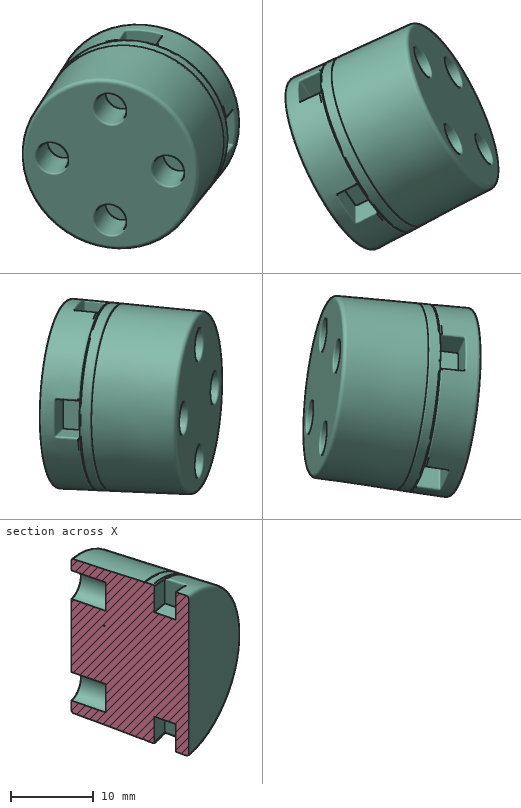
import cadquery as cq
import math

LENGTH = 17.0
MAX_DIAMETER = 23.0
DRAFT_ANGLE = 1.5
RIM_FILLET = 0.5
SMALL_FILLET = 0.2

CAP_DEPTH = 5.0
RING_END = 6.49

SLOT_WIDTH = 4.6
SLOT_START = 1.98
SLOT_DEPTH = 4.0
SLOT_COUNT = 4

HOLE_DIAMETER = 4.0
HOLE_DEPTH = 5.0
HOLE_CIRCLE_RADIUS = 7.27
HOLE_COUNT = 4

BACK_Y = LENGTH / 2
FRONT_Y = -LENGTH / 2
TAPER = math.tan(math.radians(DRAFT_ANGLE))
RIM_TANGENT_DEPTH = RIM_FILLET * (1 - math.sin(math.radians(DRAFT_ANGLE)))
BACK_RADIUS = MAX_DIAMETER / 2 + RIM_TANGENT_DEPTH * TAPER


def radius_at(depth):
    """Radius of the tapered wall at a distance from the back face."""
    return BACK_RADIUS - depth * TAPER


def drum_section(start, end):
    """Solid slice of the tapered drum between two distances from the back face."""
    return (
        cq.Workplane("XY")
        .moveTo(0, BACK_Y - start)
        .lineTo(radius_at(start), BACK_Y - start)
        .lineTo(radius_at(end), BACK_Y - end)
        .lineTo(0, BACK_Y - end)
        .close()
        .revolve(360, (0, 0, 0), (0, 1, 0))
    )


def slot_cutter():
    """Radial pocket at the top of the cap, open toward the ring, with rounded back corners."""
    slot_length = CAP_DEPTH - SLOT_START
    outer_radius = MAX_DIAMETER / 2
    floor_z = outer_radius - SLOT_DEPTH
    return (
        cq.Workplane("XY")
        .box(SLOT_WIDTH, slot_length, outer_radius, centered=(True, False, False))
        .edges("|Z and >Y")
        .fillet(SMALL_FILLET)
        .translate((0, BACK_Y - CAP_DEPTH, floor_z))
    )


def make_cap():
    """Back section with the side slots; slot mouths and front edge are rounded."""
    cap = drum_section(0, CAP_DEPTH).faces(">Y").edges().fillet(RIM_FILLET)
    cutter = slot_cutter()
    for i in range(SLOT_COUNT):
        cap = cap.cut(cutter.rotate((0, 0, 0), (0, 1, 0), i * 360 / SLOT_COUNT))
    rim_limit_y = BACK_Y - RIM_FILLET - SMALL_FILLET
    outline = [
        edge
        for edge in cap.faces("%CONE").edges().vals()
        if edge.Center().y < rim_limit_y and edge.geomType() != "LINE"
    ]
    return cap.newObject(outline).fillet(SMALL_FILLET)


def make_ring():
    """Narrow band between the cap and the front section."""
    return drum_section(CAP_DEPTH, RING_END).faces("<Y or >Y").edges().fillet(SMALL_FILLET)


def make_front():
    """Long front section with its ring of blind holes."""
    front = drum_section(RING_END, LENGTH)
    front = front.faces(">Y").edges().fillet(SMALL_FILLET)
    front = front.faces("<Y").edges().fillet(RIM_FILLET)
    holes = (
        cq.Workplane("XZ", origin=(0, FRONT_Y, 0))
        .polarArray(HOLE_CIRCLE_RADIUS, 0, 360, HOLE_COUNT)
        .circle(HOLE_DIAMETER / 2)
        .extrude(-HOLE_DEPTH)
    )
    front = front.cut(holes)
    mouths = [edge for wire in front.faces("<Y").val().innerWires() for edge in wire.Edges()]
    return front.newObject(mouths).fillet(SMALL_FILLET)


result = make_cap().union(make_ring()).union(make_front())